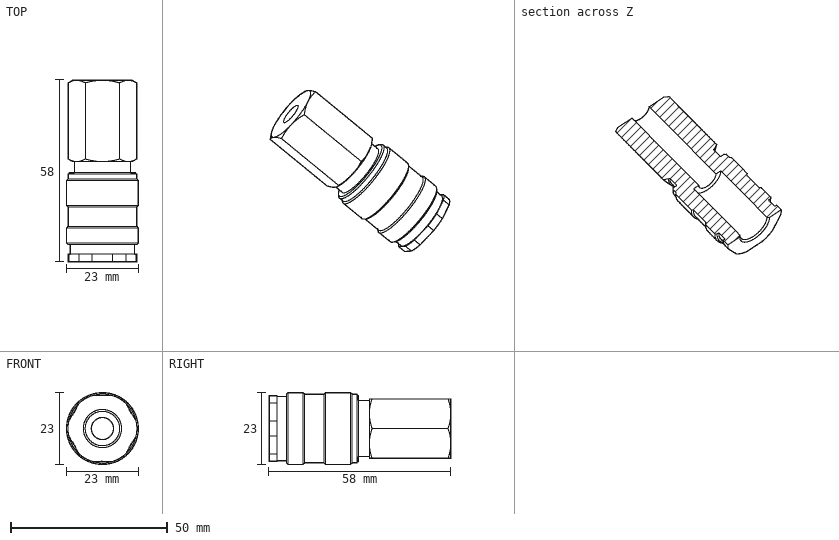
import cadquery as cq
import math


COLLAR_END = 2.5
SLEEVE_START = 5.5
FRONT_BAND_END = 11.35
REAR_BAND_START = 17.5
REAR_BAND_END = 26.5
SLEEVE_END = 28.5
HEX_START = 32.0
TOTAL_LENGTH = 58.0

COLLAR_DIAMETER = 22.0
GROOVE_DIAMETER = 20.6
BAND_DIAMETER = 23.0
SLEEVE_DIAMETER = 22.0
NECK_DIAMETER = 18.0

COLLAR_ACROSS_FLATS = 21.0
HEX_ACROSS_FLATS = 19.0
HEX_CHAMFER_ANGLE = 30.0

MOUTH_DIAMETER = 12.2
SOCKET_DIAMETER = 11.0
SOCKET_DEPTH = 24.0
PASSAGE_DIAMETER = 7.0

EDGE_CHAMFER = (BAND_DIAMETER - SLEEVE_DIAMETER) / 2


def across_corners(across_flats):
    """Corner-to-corner width of a regular hexagon."""
    return across_flats / math.cos(math.radians(30))


def cylinder(diameter, start, end):
    """Round bar along Y between two stations."""
    return cq.Workplane("XZ", origin=(0, start, 0)).circle(diameter / 2).extrude(start - end)


def hex_bar(across_flats, start, end):
    """Hexagonal bar along Y with flats facing +Z and -Z."""
    base = cq.Workplane("XZ", origin=(0, start, 0))
    return base.polygon(6, across_corners(across_flats)).extrude(start - end)


def turned(profile):
    """Solid of revolution about Y from (radius, station) points."""
    return cq.Workplane("XY").polyline(profile).close().revolve(360, (0, 0, 0), (0, 1, 0))


def collar():
    """Round front collar cut by six wrench flats."""
    disc = cylinder(COLLAR_DIAMETER, 0, COLLAR_END)
    return disc.intersect(hex_bar(COLLAR_ACROSS_FLATS, 0, COLLAR_END))


def sleeve():
    """Sliding sleeve with two raised, chamfered grip bands."""
    band = BAND_DIAMETER / 2
    body = SLEEVE_DIAMETER / 2
    return turned([
        (0, SLEEVE_START),
        (body, SLEEVE_START),
        (band, SLEEVE_START + EDGE_CHAMFER),
        (band, FRONT_BAND_END - EDGE_CHAMFER),
        (body, FRONT_BAND_END),
        (body, REAR_BAND_START),
        (band, REAR_BAND_START + EDGE_CHAMFER),
        (band, REAR_BAND_END - EDGE_CHAMFER),
        (body, REAR_BAND_END),
        (body, SLEEVE_END - EDGE_CHAMFER),
        (body - EDGE_CHAMFER, SLEEVE_END),
        (0, SLEEVE_END),
    ])


def hex_end():
    """Rear hexagon whose corners are coned off at both ends."""
    face_radius = HEX_ACROSS_FLATS / 2
    corner_radius = across_corners(HEX_ACROSS_FLATS) / 2
    cone_length = (corner_radius - face_radius) * math.tan(math.radians(HEX_CHAMFER_ANGLE))
    envelope = turned([
        (0, HEX_START),
        (face_radius, HEX_START),
        (corner_radius, HEX_START + cone_length),
        (corner_radius, TOTAL_LENGTH - cone_length),
        (face_radius, TOTAL_LENGTH),
        (0, TOTAL_LENGTH),
    ])
    return envelope.intersect(hex_bar(HEX_ACROSS_FLATS, HEX_START, TOTAL_LENGTH))


def bores():
    """Plug socket with a 45 degree lead-in, and the passage through the rest."""
    mouth = MOUTH_DIAMETER / 2
    socket = SOCKET_DIAMETER / 2
    passage = PASSAGE_DIAMETER / 2
    return turned([
        (0, 0),
        (mouth, 0),
        (socket, mouth - socket),
        (socket, SOCKET_DEPTH),
        (passage, SOCKET_DEPTH),
        (passage, TOTAL_LENGTH),
        (0, TOTAL_LENGTH),
    ])


groove = cylinder(GROOVE_DIAMETER, COLLAR_END, SLEEVE_START)
neck = cylinder(NECK_DIAMETER, SLEEVE_END, HEX_START)
outside = collar().union(groove).union(sleeve()).union(neck).union(hex_end())
result = outside.cut(bores())